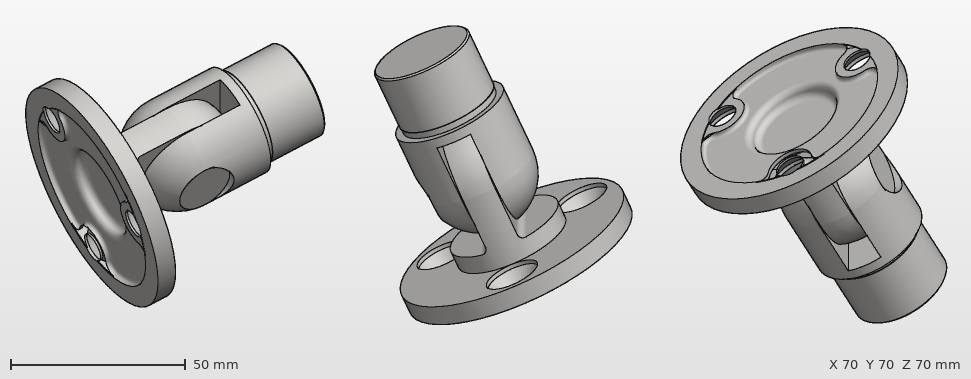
import cadquery as cq
import math


flange_diameter = 70.0
flange_thickness = 6.0
joint_radius = 16.9
boss_top = 11.5
pivot_y = 29.0
tongue_thickness = 9.9
tongue_root_fillet = 2.0

pocket_radius = 28.4
pocket_depth = 2.0
pocket_floor_fillet = 1.0
pocket_corner_radius = 3.0
island_radius = 7.0
island_setback = 0.3
screw_hole_count = 3
screw_hole_circle_radius = 25.0
screw_hole_diameter = 8.5
screw_head_radius = 8.0
countersink_start = 1.0
countersink_end = countersink_start + screw_head_radius - screw_hole_diameter / 2
recess_radius = 15.5
recess_edge_radius = 2.0
recess_depth = 2 * recess_edge_radius

slot_width = 10.5
slot_end = 47.0
shoulder_y = 50.0
neck_radius = 14.6
neck_end = 52.0
spigot_radius = 14.85
spigot_end = 70.0
spigot_chamfer = 0.5

head_radius = 8.5
head_thickness = 4.0
shank_radius = 4.0
shank_tip_x = -12.0
head_top_x = math.sqrt(joint_radius**2 - head_radius**2)
head_seat_x = head_top_x - head_thickness


def disc_along_y(radius, start, end):
    return cq.Workplane("XZ", origin=(0, start, 0)).circle(radius).extrude(start - end)


def rod_along_x(radius, start, end):
    return cq.Workplane("YZ", origin=(start, pivot_y, 0)).circle(radius).extrude(end - start)


def revolve_about_y(profile):
    return profile.close().revolve(360, (0, 0, 0), (0, 1, 0))


def rounded_bar(start, end):
    """Round bar along Y, with a spherical end about the pivot centre."""
    ball = cq.Workplane("XZ", origin=(0, pivot_y, 0)).sphere(joint_radius)
    return ball.union(disc_along_y(joint_radius, start, end))


def screw_positions():
    """X and Z of each screw hole, the first one straight below the axis."""
    spacing = 2 * math.pi / screw_hole_count
    angles = [index * spacing - math.pi / 2 for index in range(screw_hole_count)]
    return [(screw_hole_circle_radius * math.cos(a), screw_hole_circle_radius * math.sin(a)) for a in angles]


def mounting_pocket():
    """Shallow pocket that runs around an island at every screw hole."""
    pocket = disc_along_y(pocket_radius, 0, pocket_depth)
    for x, z in screw_positions():
        pocket = pocket.cut(disc_along_y(island_radius, 0, pocket_depth).translate((x, 0, z)))
    pocket = pocket.edges("|Y").fillet(pocket_corner_radius)
    pocket = pocket.faces(">Y").edges().fillet(pocket_floor_fillet)
    return pocket.union(disc_along_y(pocket_radius, 0, island_setback))


def centre_recess():
    """Round recess in the pocket floor, its wall a convex arc running into a concave one."""
    bend = recess_edge_radius
    wall_radius = recess_radius - bend
    floor_y = pocket_depth + recess_depth
    diagonal = bend * math.sqrt(0.5)
    profile = (
        cq.Workplane("XY")
        .moveTo(0, pocket_depth)
        .lineTo(recess_radius, pocket_depth)
        .threePointArc(
            (recess_radius - diagonal, pocket_depth + bend - diagonal),
            (wall_radius, pocket_depth + bend),
        )
        .threePointArc(
            (wall_radius - bend + diagonal, floor_y - bend + diagonal),
            (wall_radius - bend, floor_y),
        )
        .lineTo(0, floor_y)
    )
    return revolve_about_y(profile)


def screw_hole():
    """Hole for a sunk countersunk screw; it opens away from the mounting face."""
    hole_radius = screw_hole_diameter / 2
    profile = (
        cq.Workplane("XY")
        .lineTo(hole_radius, 0)
        .lineTo(hole_radius, countersink_start)
        .lineTo(screw_head_radius, countersink_end)
        .lineTo(screw_head_radius, flange_thickness)
        .lineTo(0, flange_thickness)
    )
    return revolve_about_y(profile)


def make_flange():
    half_tongue = tongue_thickness / 2
    tongue_top = pivot_y + joint_radius
    root = tongue_root_fillet
    section = (
        cq.Workplane("XY", origin=(0, 0, -joint_radius))
        .moveTo(-joint_radius, flange_thickness)
        .lineTo(joint_radius, flange_thickness)
        .lineTo(joint_radius, boss_top)
        .lineTo(half_tongue + root, boss_top)
        .radiusArc((half_tongue, boss_top + root), root)
        .lineTo(half_tongue, tongue_top)
        .lineTo(-half_tongue, tongue_top)
        .lineTo(-half_tongue, boss_top + root)
        .radiusArc((-half_tongue - root, boss_top), root)
        .lineTo(-joint_radius, boss_top)
        .close()
        .extrude(2 * joint_radius)
    )
    post = section.intersect(rounded_bar(flange_thickness, pivot_y))

    flange = disc_along_y(flange_diameter / 2, 0, flange_thickness).union(post)
    flange = flange.cut(mounting_pocket()).cut(centre_recess())
    for x, z in screw_positions():
        flange = flange.cut(screw_hole().translate((x, 0, z)))
    return flange.cut(rod_along_x(shank_radius, -joint_radius, joint_radius))


def make_fork():
    spigot = disc_along_y(spigot_radius, neck_end, spigot_end).faces(">Y").chamfer(spigot_chamfer)
    neck = disc_along_y(neck_radius, shoulder_y, neck_end)
    fork = rounded_bar(pivot_y, shoulder_y).union(neck).union(spigot)

    slot_start = pivot_y - joint_radius
    slot = cq.Workplane("XY").box(slot_width, slot_end - slot_start, 2 * joint_radius)
    fork = fork.cut(slot.translate((0, (slot_start + slot_end) / 2, 0)))

    fork = fork.cut(rod_along_x(head_radius, head_seat_x, joint_radius))
    return fork.cut(rod_along_x(shank_radius, shank_tip_x, head_seat_x))


def make_pivot_pin():
    head = rod_along_x(head_radius, head_seat_x, head_top_x)
    return head.union(rod_along_x(shank_radius, shank_tip_x, head_seat_x))


flange = make_flange()
fork = make_fork()
pivot_pin = make_pivot_pin()

result = cq.Compound.makeCompound([flange.val(), fork.val(), pivot_pin.val()])